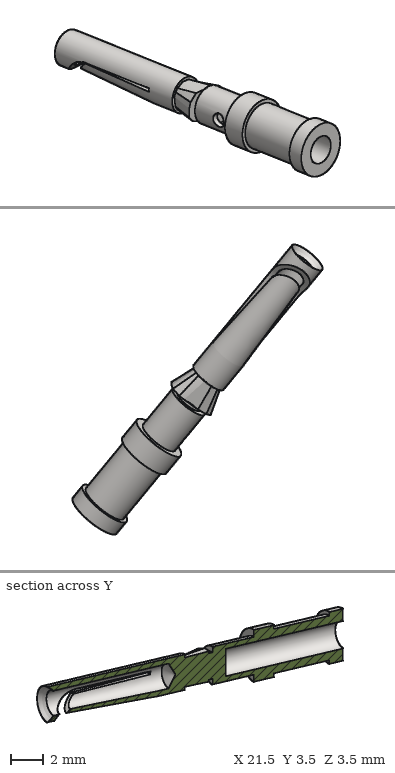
import cadquery as cq
import math

LENGTH = 21.5
SLOT_END = 8.0
SLEEVE_END = 10.0
CROWN_END = 11.75
BARREL_START = 12.0
COLLAR_START = 15.0
COLLAR_END = 16.5
FLANGE_START = 20.5

SLEEVE_R = 1.2
NECK_R = 0.9
BARREL_R = 1.28
COLLAR_R = 1.752
BODY_R = 1.5

BORE_R = 0.82
BORE_END = 8.82
DRILL_HALF_ANGLE = 59.0
MOUTH_R = 1.18
MOUTH_INNER_R = 1.0
MOUTH_DEPTH = 0.25

SLOT_TOP = 0.22
SLOT_CORNER_X = 1.94
SLOT_BEND_R = 1.76
FINGER_START_X = 2.3
FINGER_TIP_X = 1.4
FINGER_TIP_R = 0.88
FINGER_WALL = 0.25

CROWN_SMALL_R = 1.03
CROWN_SMALL_ANGLES = [-26, 13, 30, 45, 75, 105, 135]
CROWN_LARGE_HALF = [(1.53, -0.45), (1.53, 0.17), (1.42, 0.58), (0.92, 1.03), (0.54, 1.03), (-0.54, 1.03), (-1.18, 0.82)]

CRIMP_R = 0.9
CRIMP_END = 13.0
HOLE_X = 14.0
HOLE_R = 0.45

MARGIN = 0.43


def turned(points):
    """Revolve (x, radius) points about the X axis."""
    return cq.Workplane("XY").polyline(points).close().revolve(360, (0, 0, 0), (1, 0, 0))


def across(outline):
    """Extrude a closed XZ outline symmetrically through the part in Y."""
    return outline.close().extrude(COLLAR_R + MARGIN, both=True)


def make_body():
    return turned([
        (0, 0), (0, SLEEVE_R),
        (SLEEVE_END, SLEEVE_R), (SLEEVE_END, NECK_R),
        (BARREL_START, NECK_R), (BARREL_START, BARREL_R),
        (COLLAR_START, BARREL_R), (COLLAR_START, COLLAR_R),
        (COLLAR_END, COLLAR_R), (COLLAR_END, BODY_R),
        (FLANGE_START, BODY_R), (FLANGE_START, COLLAR_R),
        (LENGTH, COLLAR_R), (LENGTH, 0),
    ])


def make_crown():
    small_half = []
    for angle in CROWN_SMALL_ANGLES:
        turn = math.radians(angle)
        small_half.append((CROWN_SMALL_R * math.cos(turn), CROWN_SMALL_R * math.sin(turn)))

    def full_ring(half):
        return [(-y, z) for y, z in half] + [(y, -z) for y, z in half]

    return (
        cq.Workplane("YZ", origin=(SLEEVE_END, 0, 0)).polyline(full_ring(small_half)).close()
        .workplane(offset=CROWN_END - SLEEVE_END).polyline(full_ring(CROWN_LARGE_HALF)).close()
        .loft(ruled=True, combine=True)
    )


def make_socket_bore():
    drill_tip = BORE_END + BORE_R / math.tan(math.radians(DRILL_HALF_ANGLE))
    return turned([
        (0, 0), (0, MOUTH_R), (MOUTH_DEPTH, MOUTH_INNER_R),
        (MOUTH_DEPTH + MOUTH_INNER_R - BORE_R, BORE_R),
        (BORE_END, BORE_R), (drill_tip, 0),
    ])


def make_slot_opening():
    """Everything below the slot's upper edge, from the mouth slope to the slot end."""
    bottom = -SLEEVE_R - MARGIN
    tangent = SLOT_BEND_R * math.tan(math.pi / 8)
    diagonal = math.sqrt(0.5)
    bend_start = (SLOT_CORNER_X - tangent * diagonal, SLOT_TOP - tangent * diagonal)
    bend_end = (SLOT_CORNER_X + tangent, SLOT_TOP)
    bend_middle = (
        bend_end[0] - SLOT_BEND_R * math.sin(math.pi / 8),
        SLOT_TOP - SLOT_BEND_R * (1 - math.cos(math.pi / 8)),
    )
    outline = (
        cq.Workplane("XZ").moveTo(SLOT_CORNER_X - SLOT_TOP + bottom, bottom)
        .lineTo(*bend_start).threePointArc(bend_middle, bend_end)
        .lineTo(SLOT_END, SLOT_TOP).lineTo(SLOT_END, bottom)
    )
    return across(outline)


def make_finger():
    """Lower half of a tapered tube with a 45 degree tip."""
    tube = turned([
        (FINGER_TIP_X, FINGER_TIP_R - FINGER_WALL), (FINGER_TIP_X, FINGER_TIP_R),
        (SLOT_END, SLEEVE_R), (SLOT_END, BORE_R),
    ])
    bottom = -SLEEVE_R - MARGIN
    outline = cq.Workplane("XZ").polyline([
        (FINGER_START_X, 0), (SLOT_END, 0), (SLOT_END, bottom), (FINGER_START_X + bottom, bottom),
    ])
    return tube.intersect(across(outline))


def make_crimp_bore():
    depth = LENGTH - CRIMP_END
    return cq.Workplane("YZ", origin=(CRIMP_END, 0, 0)).circle(CRIMP_R).extrude(depth)


def make_inspection_hole():
    return cq.Workplane("XZ").center(HOLE_X, 0).circle(HOLE_R).extrude(BARREL_R + MARGIN)


result = (
    make_body()
    .union(make_crown())
    .cut(make_socket_bore())
    .cut(make_slot_opening())
    .union(make_finger())
    .cut(make_crimp_bore())
    .cut(make_inspection_hole())
)